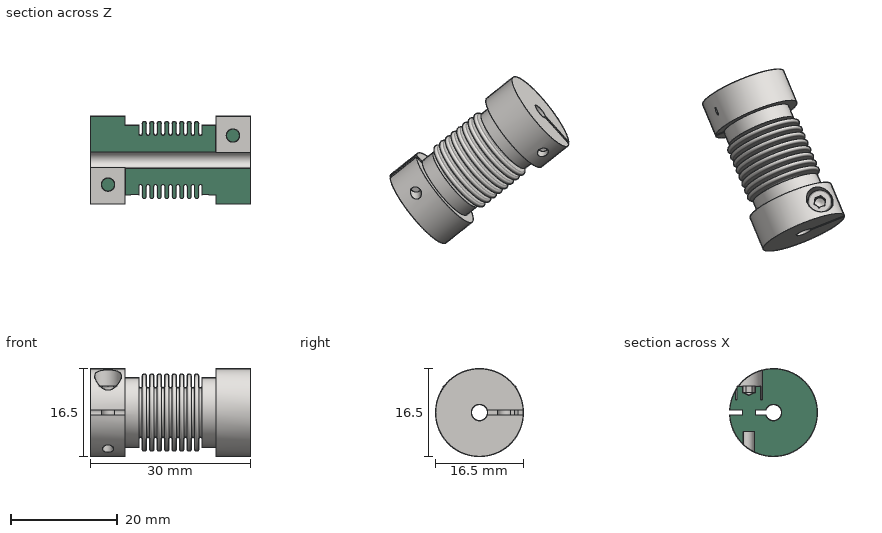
import cadquery as cq


length = 30.0
bore_diameter = 3.0

hub_diameter = 16.5
hub_length = 6.5
collar_diameter = 13.1
collar_length = 2.6

crest_count = 8
crest_diameter = 14.5
root_diameter = 9.3
pitch = 1.4
bellows_length = length - 2 * (hub_length + collar_length)
groove_width = bellows_length - crest_count * pitch
crest_width = pitch - groove_width

slot_width = 0.9
screw_offset = 4.6
seat_diameter = 5.0
seat_floor_z = 2.45
screw_inset = 3.3
tapped_diameter = 2.05

head_diameter = 4.5
head_height = 2.5
head_fillet = 0.2
shank_diameter = 2.5
shank_length = 6.0
socket_flats = 2.0
socket_depth = 1.2
socket_sides = 6
socket_cone_depth = 0.5

hub_radius = hub_diameter / 2
collar_radius = collar_diameter / 2
bore_radius = bore_diameter / 2
screw_x = -length / 2 + screw_inset
screw_y = -screw_offset
head_top_z = seat_floor_z + head_height


def vertical_cylinder(diameter, bottom_z, top_z):
    """Cylinder on the axis of the first clamp screw."""
    base = cq.Workplane("XY", origin=(screw_x, screw_y, bottom_z))
    return base.circle(diameter / 2).extrude(top_z - bottom_z)


def half_turn(shape):
    """Carry a feature of the first hub over to the second hub."""
    return shape.rotate((0, 0, 0), (0, 0, 1), 180)


def make_body():
    """Revolved hubs, collars and bellows with the through bore."""
    crest_end = crest_width / 2
    groove_end = groove_width / 2
    crest_tangent = crest_diameter / 2 - crest_end
    root_tangent = root_diameter / 2 + groove_end

    def groove(outline, start_x):
        outline = outline.lineTo(start_x, root_tangent)
        return outline.threePointArc(
            (start_x + groove_end, root_diameter / 2), (start_x + groove_width, root_tangent)
        )

    hub_end = length / 2 - hub_length
    collar_end = bellows_length / 2

    outline = cq.Workplane("XY").moveTo(-length / 2, bore_radius)
    outline = outline.lineTo(-length / 2, hub_radius).lineTo(-hub_end, hub_radius)
    outline = outline.lineTo(-hub_end, collar_radius).lineTo(-collar_end, collar_radius)
    for index in range(crest_count):
        groove_x = -collar_end + index * pitch
        crest_x = groove_x + groove_width
        outline = groove(outline, groove_x)
        outline = outline.lineTo(crest_x, crest_tangent)
        outline = outline.threePointArc(
            (crest_x + crest_end, crest_diameter / 2), (crest_x + crest_width, crest_tangent)
        )
    outline = groove(outline, collar_end - groove_width)
    outline = outline.lineTo(collar_end, collar_radius).lineTo(hub_end, collar_radius)
    outline = outline.lineTo(hub_end, hub_radius).lineTo(length / 2, hub_radius)
    outline = outline.lineTo(length / 2, bore_radius).close()
    return outline.revolve(360, (0, 0, 0), (1, 0, 0))


def make_slot():
    """Radial clamp slot from the bore out through the -Y side of the first hub."""
    return cq.Workplane("XY").box(hub_length, hub_radius, slot_width).translate(
        (-length / 2 + hub_length / 2, -hub_radius / 2, 0)
    )


def make_screw():
    """Socket head screw with a rounded head and a hexagon socket with a conical bottom."""
    head = vertical_cylinder(head_diameter, seat_floor_z, head_top_z)
    head = head.faces(">Z").edges().fillet(head_fillet)
    shank = vertical_cylinder(shank_diameter, seat_floor_z - shank_length, seat_floor_z)

    socket_bottom_z = head_top_z - socket_depth
    socket = (
        cq.Workplane("XY", origin=(screw_x, screw_y, socket_bottom_z))
        .polygon(socket_sides, socket_flats, circumscribed=True)
        .extrude(socket_depth)
    )
    drill_point = cq.Solid.makeCone(
        socket_flats / 2,
        0,
        socket_cone_depth,
        pnt=cq.Vector(screw_x, screw_y, socket_bottom_z),
        dir=cq.Vector(0, 0, -1),
    )
    return head.union(shank).cut(socket).cut(cq.Workplane(drill_point))


slot = make_slot()
screw = make_screw()
seat = vertical_cylinder(seat_diameter, seat_floor_z, hub_radius)
tapped_hole = vertical_cylinder(tapped_diameter, -hub_radius, 0)

body = make_body()
body = body.cut(slot).cut(tapped_hole).cut(seat)
body = body.cut(half_turn(slot)).cut(half_turn(tapped_hole))
result = body.union(screw).union(half_turn(screw))